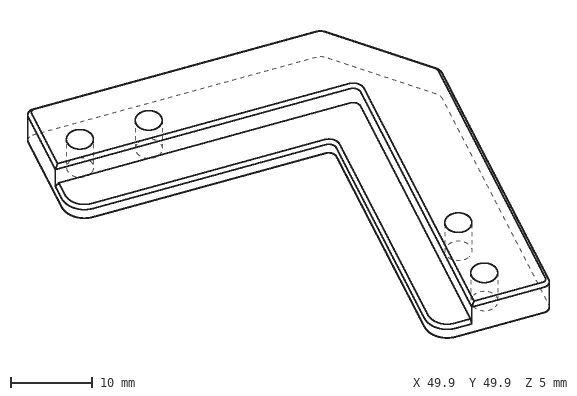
import cadquery as cq

SIDE = 49.85
THICKNESS = 5.0
LEDGE_HEIGHT = 2.0

ARM_WIDTH = 15.5
RAISED_WIDTH = 10.4

CORNER_CUT = 11.3
CUT_BLEND_RADIUS = 1.5
END_CORNER_RADIUS = 1.0
INNER_CORNER_RADIUS = 1.0
LEDGE_TIP_RADIUS = 3.0
EDGE_CHAMFER = 0.45

HOLE_DIAMETER = 3.3
HOLE_EDGE_OFFSET = 7.15
HOLE_END_OFFSET = 4.45
HOLE_SPACING = 8.95


def angle_layer(width, height):
    """L-shaped layer with its outer corner cut at 45 degrees, centred on the square envelope."""
    half = SIDE / 2
    inner = width - half
    layer = (
        cq.Workplane("XY")
        .moveTo(-half, -half)
        .lineTo(inner, -half)
        .lineTo(inner, -inner)
        .lineTo(half, -inner)
        .lineTo(half, half)
        .lineTo(CORNER_CUT - half, half)
        .lineTo(-half, half - CORNER_CUT)
        .close()
        .extrude(height)
    )
    layer = round_corners(layer, [(-half, -half), (half, half)], END_CORNER_RADIUS)
    cut_corners = [(CORNER_CUT - half, half), (-half, half - CORNER_CUT)]
    layer = round_corners(layer, cut_corners, CUT_BLEND_RADIUS)
    return round_corners(layer, [(inner, -inner)], INNER_CORNER_RADIUS)


def round_corners(body, corners, radius):
    """Round the vertical edges standing at the given XY corners."""
    for x, y in corners:
        body = body.edges(cq.selectors.NearestToPointSelector((x, y, body.val().Center().z))).fillet(radius)
    return body


def ledge_layer():
    """Full-width lower layer with large tip radii and a chamfered top edge."""
    half = SIDE / 2
    inner = ARM_WIDTH - half
    layer = angle_layer(ARM_WIDTH, LEDGE_HEIGHT)
    layer = round_corners(layer, [(inner, -half), (half, -inner)], LEDGE_TIP_RADIUS)
    return layer.faces(">Z").edges().chamfer(EDGE_CHAMFER)


def raised_layer():
    """Narrower full-height layer, chamfered around its top face."""
    return angle_layer(RAISED_WIDTH, THICKNESS).faces(">Z").edges().chamfer(EDGE_CHAMFER)


def mounting_holes():
    """Through-hole cutters, one pair near the end of each arm."""
    edge_position = SIDE / 2 - HOLE_EDGE_OFFSET
    centres = []
    for index in range(2):
        along_arm = SIDE / 2 - HOLE_END_OFFSET - index * HOLE_SPACING
        centres.append((along_arm, edge_position))
        centres.append((-edge_position, -along_arm))
    return cq.Workplane("XY").pushPoints(centres).circle(HOLE_DIAMETER / 2).extrude(THICKNESS)


result = raised_layer().union(ledge_layer()).cut(mounting_holes())